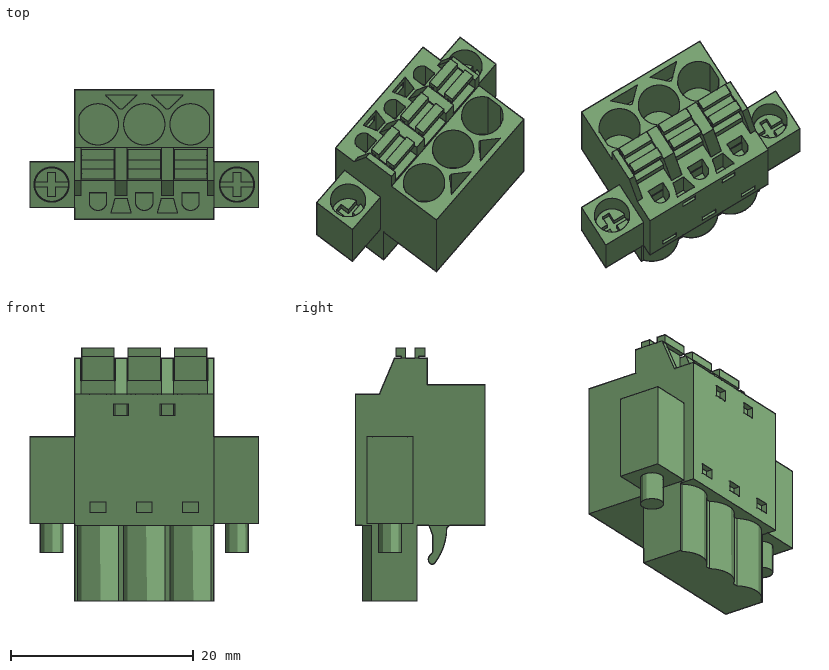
import cadquery as cq

POLES = 3
PITCH = 5.07

BODY_WIDTH = 15.25
BODY_DEPTH = 14.2
BODY_BOTTOM = 8.3
FRONT_SHELF = 22.65
BACK_SHELF = 23.7
WING_TOP = 26.6
WING_BACK = 7.88
WING_FRONT = 4.27
WING_FOOT = 2.6

PLUG_BACK = 6.77
PLUG_FLAT_FRONT = 1.77
PLUG_ROUND_FRONT = 0.75
PLUG_ROUND_WIDTH = 4.5

HOOK_WIDTH = PLUG_ROUND_WIDTH
HOOK_ROOT_FRONT = 8.05
HOOK_ROOT_BACK = 10.35
HOOK_STEM_FRONT = 8.45
HOOK_STEM_TOP = 7.2
HOOK_STEM_BOTTOM = 5.35
HOOK_BARB_TOP = (8.1, 4.94)
HOOK_BARB_NOSE = (8.0, 4.45)
HOOK_TIP_FRONT = (8.4, 4.0)
HOOK_TIP_BACK = (8.65, 4.1)
HOOK_SPINE_MIDDLE = (9.55, 5.63)
HOOK_SPINE_TOP = (10.0, 8.01)

FLANGE_SPAN = 25.05
FLANGE_DEPTH = 5.05
FLANGE_BOTTOM = 8.49
FLANGE_TOP = 18.0
SCREW_X = 2 * PITCH
SCREW_Y = 3.8

SHANK_DIAMETER = 2.52
SHANK_BOTTOM = 5.3
HEAD_DIAMETER = 3.7
HEAD_BORE_DIAMETER = 3.85
HEAD_BOTTOM = 11.1
HEAD_TOP = 13.86
LONG_SLOT_WIDTH = 0.58
CROSS_SLOT_WIDTH = 0.85
CROSS_SLOT_LENGTH = 2.63
SLOT_DEPTH = 1.1

WIRE_DIAMETER = 4.52
WIRE_Y = 10.4
WIRE_SIDE_WALL = 0.47
WIRE_DEPTH = 11.1
POCKET_DEPTH = 5.55
TRIANGLE_BACK = 13.6
TRIANGLE_FRONT = 12.05
TRIANGLE_HALF_BACK = 1.72
TRIANGLE_HALF_TIP = 0.15

TEST_WIDTH = 1.89
TEST_BACK = 2.95
TEST_FRONT = 0.97
TEST_ARC_START = 1.65
TEST_LEDGE_DEPTH = POCKET_DEPTH / 2
TEST_LEDGE_WIDTH = 0.08
KEY_BACK = 2.3
KEY_FRONT = 0.7
KEY_HALF_BACK = 0.67
KEY_HALF_FRONT = 1.1

UPPER_WINDOW_WIDTH = 1.6
UPPER_WINDOW_BOTTOM = 20.33
UPPER_WINDOW_TOP = 21.57
LOWER_WINDOW_WIDTH = 1.75
LOWER_WINDOW_BOTTOM = 9.68
LOWER_WINDOW_TOP = 10.85
LOWER_WINDOW_DEPTH = 0.72

CHANNEL_WIDTH = 3.75
CHANNEL_FLOOR = 24.15
CHANNEL_STEP_FRONT = WING_FRONT
LEVER_WIDTH = 3.58
LEVER_TOP = 27.73
LEVER_HEAD_BOTTOM = 26.8
LEVER_GAP_FLOOR = WING_TOP
LEVER_FRONT = 4.45
LEVER_NECK_FRONT = 5.0
LEVER_GAP_FRONT = 5.5
LEVER_GAP_BACK = 6.52
LEVER_NECK_BACK = 6.95
LEVER_BACK = 7.63

pole_xs = [(i - (POLES - 1) / 2) * PITCH for i in range(POLES)]
between_xs = [(a + b) / 2 for a, b in zip(pole_xs, pole_xs[1:])]
screw_xs = [-SCREW_X, SCREW_X]


def box(x_range, y_range, z_range):
    """Box given by its limits along each axis."""
    low, high = zip(x_range, y_range, z_range)
    size = [b - a for a, b in zip(low, high)]
    return cq.Workplane("XY").box(*size, centered=False).translate(low)


def centred_box(x, width, y_range, z_range):
    """Box of a given X width, centred on x."""
    return box((x - width / 2, x + width / 2), y_range, z_range)


def side_profile(points, x, width):
    """Closed (y, z) outline extruded along X, centred on x."""
    return cq.Workplane("YZ", origin=(x, 0, 0)).polyline(points).close().extrude(width / 2, both=True)


def cylinder(x, y, diameter, bottom, top):
    """Upright cylinder between two heights."""
    return cq.Workplane("XY", origin=(x, y, bottom)).circle(diameter / 2).extrude(top - bottom)


def main_block():
    outline = [
        (0, BODY_BOTTOM),
        (BODY_DEPTH, BODY_BOTTOM),
        (BODY_DEPTH, BACK_SHELF),
        (WING_BACK, BACK_SHELF),
        (WING_BACK, WING_TOP),
        (WING_FRONT, WING_TOP),
        (WING_FOOT, FRONT_SHELF),
        (0, FRONT_SHELF),
    ]
    return side_profile(outline, 0, BODY_WIDTH)


def plug():
    """Plug with a straight back and one bulging arc per pole at the front."""
    half_round = PLUG_ROUND_WIDTH / 2
    outline = cq.Workplane("XY").moveTo(-BODY_WIDTH / 2, PLUG_BACK)
    outline = outline.lineTo(-BODY_WIDTH / 2, PLUG_FLAT_FRONT)
    for x in pole_xs:
        outline = outline.lineTo(x - half_round, PLUG_FLAT_FRONT)
        outline = outline.threePointArc((x, PLUG_ROUND_FRONT), (x + half_round, PLUG_FLAT_FRONT))
    outline = outline.lineTo(BODY_WIDTH / 2, PLUG_FLAT_FRONT)
    outline = outline.lineTo(BODY_WIDTH / 2, PLUG_BACK)
    return outline.close().extrude(BODY_BOTTOM)


def latch_hook():
    outline = (
        cq.Workplane("YZ", origin=(-HOOK_WIDTH / 2, 0, 0))
        .moveTo(HOOK_ROOT_FRONT, BODY_BOTTOM)
        .lineTo(HOOK_STEM_FRONT, HOOK_STEM_TOP)
        .lineTo(HOOK_STEM_FRONT, HOOK_STEM_BOTTOM)
        .lineTo(*HOOK_BARB_TOP)
        .threePointArc(HOOK_BARB_NOSE, HOOK_TIP_FRONT)
        .lineTo(*HOOK_TIP_BACK)
        .threePointArc(HOOK_SPINE_MIDDLE, HOOK_SPINE_TOP)
        .lineTo(HOOK_ROOT_BACK, BODY_BOTTOM)
        .close()
    )
    return outline.extrude(HOOK_WIDTH)


def flanges():
    """One bar across the block whose ends form the two screw flanges."""
    return box(
        (-FLANGE_SPAN / 2, FLANGE_SPAN / 2),
        (SCREW_Y - FLANGE_DEPTH / 2, SCREW_Y + FLANGE_DEPTH / 2),
        (FLANGE_BOTTOM, FLANGE_TOP),
    )


def wire_hole(x):
    """Round blind hole, flattened where it would come too near a side wall."""
    hole = cylinder(x, WIRE_Y, WIRE_DIAMETER, BACK_SHELF - WIRE_DEPTH, BACK_SHELF)
    within_walls = centred_box(
        0, BODY_WIDTH - 2 * WIRE_SIDE_WALL, (0, BODY_DEPTH), (0, BACK_SHELF)
    )
    return hole.intersect(within_walls)


def tapered_pocket(x, back, half_back, front, half_front, top):
    """Blind pocket with a symmetric four-sided outline, open at its top."""
    corners = [(-half_back, back), (half_back, back), (half_front, front), (-half_front, front)]
    outline = cq.Workplane("XY", origin=(x, 0, top)).polyline(corners).close()
    return outline.extrude(-POCKET_DEPTH)


def test_slot(x):
    """Blind D-shaped slot with a narrow ledge part-way down its back wall."""
    half = TEST_WIDTH / 2
    bottom = FRONT_SHELF - POCKET_DEPTH
    slot = (
        cq.Workplane("XY", origin=(x, 0, bottom))
        .moveTo(-half, TEST_BACK)
        .lineTo(-half, TEST_ARC_START)
        .threePointArc((0, TEST_FRONT), (half, TEST_ARC_START))
        .lineTo(half, TEST_BACK)
        .close()
        .extrude(POCKET_DEPTH)
    )
    ledge = centred_box(
        x, TEST_WIDTH, (TEST_BACK - TEST_LEDGE_WIDTH, TEST_BACK), (bottom, FRONT_SHELF - TEST_LEDGE_DEPTH)
    )
    return slot.cut(ledge)


def upper_window(x):
    """Window from the front face into a keying pocket."""
    return centred_box(x, UPPER_WINDOW_WIDTH, (0, KEY_FRONT), (UPPER_WINDOW_BOTTOM, UPPER_WINDOW_TOP))


def lower_window(x):
    return centred_box(
        x, LOWER_WINDOW_WIDTH, (0, LOWER_WINDOW_DEPTH), (LOWER_WINDOW_BOTTOM, LOWER_WINDOW_TOP)
    )


def lever_channel(x):
    """Channel between two wings, with a raised floor that carries the lever."""
    above_floor = centred_box(x, CHANNEL_WIDTH, (0, WING_BACK), (CHANNEL_FLOOR, WING_TOP))
    before_step = centred_box(x, CHANNEL_WIDTH, (0, CHANNEL_STEP_FRONT), (FRONT_SHELF, WING_TOP))
    return above_floor.union(before_step)


def screw_hole(x):
    """Counterbored hole through a flange."""
    shank_hole = cylinder(x, SCREW_Y, SHANK_DIAMETER, FLANGE_BOTTOM, HEAD_BOTTOM)
    head_bore = cylinder(x, SCREW_Y, HEAD_BORE_DIAMETER, HEAD_BOTTOM, FLANGE_TOP)
    return shank_hole.union(head_bore)


def make_housing():
    body = main_block().union(plug()).union(latch_hook()).union(flanges())
    for x in pole_xs:
        body = body.cut(wire_hole(x)).cut(lever_channel(x)).cut(test_slot(x)).cut(lower_window(x))
    for x in between_xs:
        body = body.cut(
            tapered_pocket(
                x, TRIANGLE_BACK, TRIANGLE_HALF_BACK, TRIANGLE_FRONT, TRIANGLE_HALF_TIP, BACK_SHELF
            )
        )
        body = body.cut(
            tapered_pocket(x, KEY_BACK, KEY_HALF_BACK, KEY_FRONT, KEY_HALF_FRONT, FRONT_SHELF)
        )
        body = body.cut(upper_window(x))
    for x in screw_xs:
        body = body.cut(screw_hole(x))
    return body


def make_lever(x):
    """Two-headed lever standing on the channel floor."""
    outline = [
        (LEVER_NECK_FRONT, CHANNEL_FLOOR),
        (LEVER_NECK_FRONT, LEVER_HEAD_BOTTOM),
        (LEVER_FRONT, LEVER_HEAD_BOTTOM),
        (LEVER_FRONT, LEVER_TOP),
        (LEVER_GAP_FRONT, LEVER_TOP),
        (LEVER_GAP_FRONT, LEVER_GAP_FLOOR),
        (LEVER_GAP_BACK, LEVER_GAP_FLOOR),
        (LEVER_GAP_BACK, LEVER_TOP),
        (LEVER_BACK, LEVER_TOP),
        (LEVER_BACK, LEVER_HEAD_BOTTOM),
        (LEVER_NECK_BACK, LEVER_HEAD_BOTTOM),
        (LEVER_NECK_BACK, CHANNEL_FLOOR),
    ]
    return side_profile(outline, x, LEVER_WIDTH)


def make_screw(x):
    """Screw whose head has two crossing slots."""
    shank = cylinder(x, SCREW_Y, SHANK_DIAMETER, SHANK_BOTTOM, HEAD_BOTTOM)
    head = cylinder(x, SCREW_Y, HEAD_DIAMETER, HEAD_BOTTOM, HEAD_TOP)
    slot_heights = (HEAD_TOP - SLOT_DEPTH, HEAD_TOP)
    long_slot = centred_box(
        x,
        HEAD_DIAMETER,
        (SCREW_Y - LONG_SLOT_WIDTH / 2, SCREW_Y + LONG_SLOT_WIDTH / 2),
        slot_heights,
    )
    cross_slot = centred_box(
        x,
        CROSS_SLOT_WIDTH,
        (SCREW_Y - CROSS_SLOT_LENGTH / 2, SCREW_Y + CROSS_SLOT_LENGTH / 2),
        slot_heights,
    )
    return shank.union(head).cut(long_slot).cut(cross_slot)


housing = make_housing()
levers = [make_lever(x) for x in pole_xs]
screws = [make_screw(x) for x in screw_xs]

result = cq.Compound.makeCompound([housing.val(), *[body.val() for body in levers + screws]])